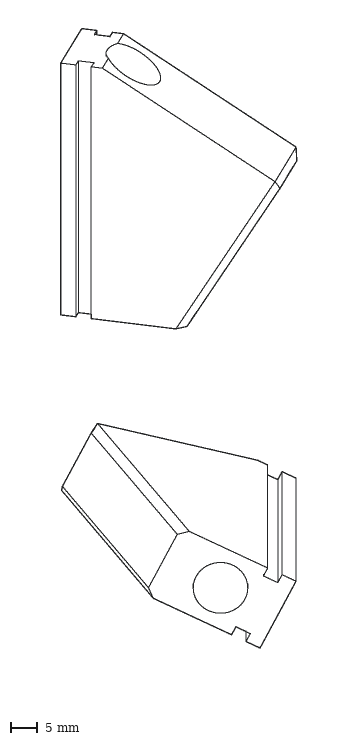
import cadquery as cq
import math

height = 52.5
thickness = 15.0
top_length = 8.1
bottom_length = 24.05
roof_slope = math.radians(30)

chamfer_size = 1.5

groove_offset = 2.95
groove_width = 3.0
groove_depth = 1.8

hole_diameter = 10.2
hole_x = 12.0

roof_run_per_drop = 1 / math.tan(roof_slope)
nose_run_per_rise = math.tan(roof_slope)
corner_z = (top_length + height * roof_run_per_drop - bottom_length) / (
    roof_run_per_drop + nose_run_per_rise
)
corner_x = bottom_length + corner_z * nose_run_per_rise


def make_body():
    """Five-sided block, centred on Y, with its back face at X = 0."""
    outline = [
        (0, 0),
        (bottom_length, 0),
        (corner_x, corner_z),
        (top_length, height),
        (0, height),
    ]
    return cq.Workplane("XZ").polyline(outline).close().extrude(thickness / 2, both=True)


def chamfer_nose(body):
    """Chamfer the two side edges and the upper edge of the nose face."""
    nose_normal = cq.Vector(math.cos(roof_slope), 0, -math.sin(roof_slope))
    nose_face = body.faces(cq.selectors.DirectionMinMaxSelector(nose_normal))
    return nose_face.edges("not <Z").chamfer(chamfer_size)


def make_groove(side):
    """Full-height groove cutter on the +Y (side = 1) or -Y (side = -1) face."""
    return (
        cq.Workplane("XY")
        .center(groove_offset + groove_width / 2, side * thickness / 2)
        .rect(groove_width, 2 * groove_depth)
        .extrude(height)
    )


def make_hole():
    """Vertical bore through the roof and the base."""
    return cq.Workplane("XY").center(hole_x, 0).circle(hole_diameter / 2).extrude(height)


result = chamfer_nose(make_body())
for groove_side in (-1, 1):
    result = result.cut(make_groove(groove_side))
result = result.cut(make_hole())